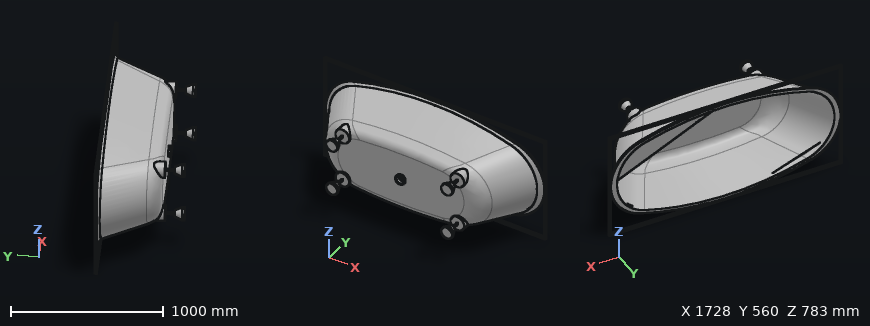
import cadquery as cq
import math


frame_length = 1728.0
frame_width = 783.0
frame_bar = 9.0
frame_depth = 15.0

rim_half_length = 854.0
rim_half_width = 382.0
rim_end_radius = 299.0
rim_end_ratio = rim_end_radius / rim_half_width
lip_thickness = 10.0
flare_depth = 31.0

tub_depth = 418.0
wall = 14.0
floor_end_ratio = 0.93
end_wall_top = 830.0
end_wall_angle = 28.8
end_floor_radius = 181.0
side_wall_top = 377.0
side_wall_angle = 17.6
side_floor_radius = 59.0
floor_sections = 7

drain_radius = 36.0
drain_hole_radius = 26.0
boss_end = 432.0

leg_x = 450.0
leg_z = 175.0
boss_radius = 54.0
boss_root = 260.0
stem_radius = 7.0
foot_top = 496.0
foot_top_radius = 22.0
foot_radius = 43.0
foot_disc_top = 545.0
foot_end = 560.0


def at_depth(depth):
    """XZ workplane at a distance below the rim; extruding goes deeper."""
    return cq.Workplane("XZ", origin=(0, -depth, 0))


def oval(plane, half_length, half_width, end_ratio):
    """Closed outline of two long side arcs running tangent into two round ends."""
    end_radius = end_ratio * half_width
    end_center = half_length - end_radius
    rise = half_width - end_radius
    side_radius = end_radius + (end_center**2 + rise**2) / (2 * rise)
    side_center = half_width - side_radius
    reach = side_radius / (side_radius - end_radius)
    join_x = end_center * reach
    join_z = side_center * (1 - reach)
    return (
        plane.moveTo(-join_x, join_z)
        .threePointArc((0, half_width), (join_x, join_z))
        .threePointArc((half_length, 0), (join_x, -join_z))
        .threePointArc((0, -half_width), (-join_x, -join_z))
        .threePointArc((-half_length, 0), (-join_x, join_z))
        .close()
    )


def wall_offset(depth, top, angle, radius):
    """Distance of a sloping wall from the middle, rounded tangent into the floor."""
    slope = math.radians(angle)
    arc_start = tub_depth - radius * (1 - math.sin(slope))
    if depth <= arc_start:
        return top - depth * math.tan(slope)
    arc_center = top - arc_start * math.tan(slope) - radius * math.cos(slope)
    drop = depth - (tub_depth - radius)
    return arc_center + math.sqrt(max(radius**2 - drop**2, 0))


def outline(depth, inset):
    """Tub outline at a depth, moved inward and upward by the inset, with blunter ends near the floor."""
    half_length = wall_offset(depth, end_wall_top, end_wall_angle, end_floor_radius) - inset
    half_width = wall_offset(depth, side_wall_top, side_wall_angle, side_floor_radius) - inset
    ratio = rim_end_ratio + (floor_end_ratio - rim_end_ratio) * depth / tub_depth
    return oval(at_depth(depth - inset), half_length, half_width, ratio).val()


def basin(inset):
    """Solid bowl: straight sloping walls above a rounded floor edge."""
    bend = tub_depth - end_floor_radius * (1 - math.sin(math.radians(end_wall_angle)))
    floor_outlines = []
    for i in range(floor_sections + 1):
        angle = math.pi / 2 * i / floor_sections
        floor_outlines.append(outline(bend + (tub_depth - bend) * math.sin(angle), inset))
    walls = cq.Solid.makeLoft([outline(0, inset), outline(bend, inset)], True)
    floor = cq.Solid.makeLoft(floor_outlines)
    return cq.Workplane(walls).union(cq.Workplane(floor))


def make_rim():
    """Flat lip with a flare that narrows from its edge down to the tub wall."""
    lip_outline = oval(at_depth(0), rim_half_length, rim_half_width, rim_end_ratio)
    lip = lip_outline.extrude(lip_thickness)
    edge = oval(at_depth(lip_thickness), rim_half_length, rim_half_width, rim_end_ratio).val()
    flare = cq.Solid.makeLoft([edge, outline(flare_depth, 0)], True)
    return lip.union(cq.Workplane(flare))


def leg(x, z):
    """Boss on the tub, thin stem and flared foot."""
    boss = at_depth(boss_root).center(x, z).circle(boss_radius).extrude(boss_end - boss_root)
    profile = [
        (0, -boss_end),
        (stem_radius, -boss_end),
        (stem_radius, -foot_top),
        (foot_top_radius, -foot_top),
        (foot_radius, -foot_disc_top),
        (foot_radius, -foot_end),
        (0, -foot_end),
    ]
    foot = cq.Workplane("XY").polyline(profile).close().revolve(360, (0, 0), (0, 1))
    return boss.union(foot.translate((x, 0, z)))


def make_tub():
    tub = basin(0).union(make_rim())
    tub = tub.union(at_depth(boss_root).circle(drain_radius).extrude(boss_end - boss_root))
    for x in (-leg_x, leg_x):
        for z in (-leg_z, leg_z):
            tub = tub.union(leg(x, z))
    tub = tub.cut(basin(wall))
    return tub.cut(at_depth(0).circle(drain_hole_radius).extrude(boss_end))


def make_frame():
    opening = at_depth(0).rect(frame_length - 2 * frame_bar, frame_width - 2 * frame_bar)
    return at_depth(0).rect(frame_length, frame_width).extrude(frame_depth).cut(opening.extrude(frame_depth))


tub = make_tub()
frame = make_frame()

result = cq.Compound.makeCompound([*tub.solids().vals(), frame.val()])